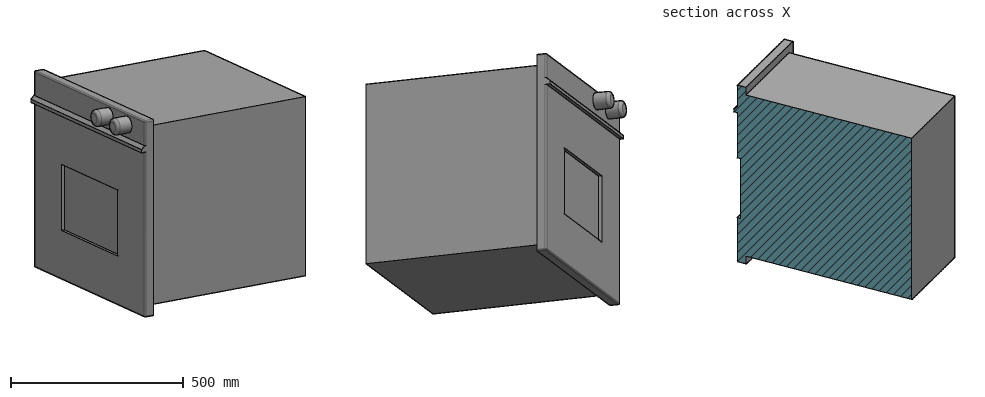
import cadquery as cq


PANEL_SIDE = 595.0
PANEL_THICKNESS = 30.0
PANEL_EDGE_RADIUS = 4.0

BODY_SIDE = 543.0
BODY_DEPTH = 540.0

WINDOW_WIDTH = 300.0
WINDOW_HEIGHT = 200.0
WINDOW_DEPTH = 10.0
WINDOW_DROP = 48.5

RAIL_TOP_DROP = 74.5
RAIL_HEIGHT = 20.0
RAIL_SLOPE_HEIGHT = 10.0
RAIL_PROJECTION = 11.0

KNOB_DIAMETER = 50.0
KNOB_LENGTH = 50.0
KNOB_EDGE_RADIUS = 10.0
KNOB_TOP_DROP = 34.0
KNOB_SPACING = 100.0
FIRST_KNOB_X = 103.0
KNOB_COUNT = 2

PANEL_CENTRE_Z = PANEL_SIDE / 2


def make_panel():
    """Square panel, rounded on every edge except those of its back face."""
    panel = cq.Workplane("XY").box(PANEL_SIDE, PANEL_THICKNESS, PANEL_SIDE)
    panel = panel.edges("|Y or <Y").fillet(PANEL_EDGE_RADIUS)
    return panel.translate((0, PANEL_THICKNESS / 2, PANEL_CENTRE_Z))


def make_body():
    body = cq.Workplane("XY").box(BODY_SIDE, BODY_DEPTH, BODY_SIDE)
    return body.translate((0, PANEL_THICKNESS + BODY_DEPTH / 2, PANEL_CENTRE_Z))


def make_window_recess():
    recess = cq.Workplane("XY").box(WINDOW_WIDTH, WINDOW_DEPTH, WINDOW_HEIGHT)
    return recess.translate((0, WINDOW_DEPTH / 2, PANEL_CENTRE_Z - WINDOW_DROP))


def make_rail():
    """Full-width rail with a sloping top, rooted in the panel behind its rounded edges."""
    top = PANEL_SIDE - RAIL_TOP_DROP
    bottom = top - RAIL_HEIGHT
    profile = [
        (PANEL_EDGE_RADIUS, bottom),
        (-RAIL_PROJECTION, bottom),
        (-RAIL_PROJECTION, top - RAIL_SLOPE_HEIGHT),
        (0, top),
        (PANEL_EDGE_RADIUS, top),
    ]
    return cq.Workplane("YZ").polyline(profile).close().extrude(PANEL_SIDE / 2, both=True)


def make_knob(x):
    """Round knob pointing forward, with a rounded front edge."""
    knob = cq.Workplane("XZ").circle(KNOB_DIAMETER / 2).extrude(KNOB_LENGTH)
    knob = knob.faces("<Y").edges().fillet(KNOB_EDGE_RADIUS)
    return knob.translate((x, 0, PANEL_SIDE - KNOB_TOP_DROP))


result = make_panel().union(make_body()).cut(make_window_recess()).union(make_rail())
for index in range(KNOB_COUNT):
    result = result.union(make_knob(FIRST_KNOB_X + index * KNOB_SPACING))